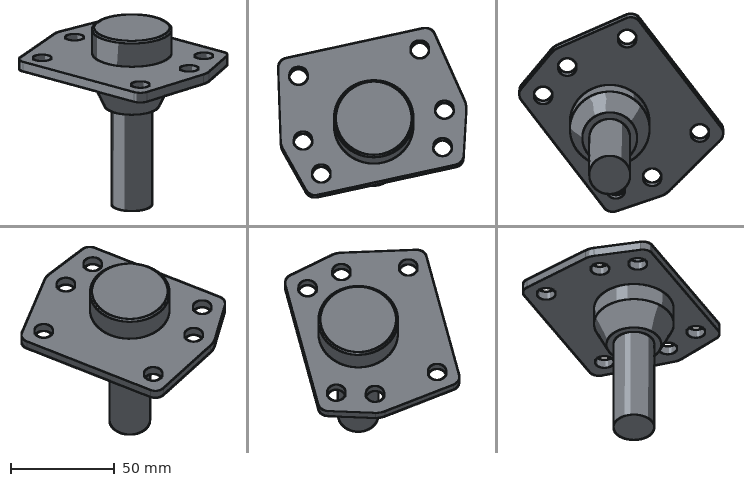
import cadquery as cq

plate_thickness = 5.0
plate_back_y = 28.0
plate_front_y = -42.0
plate_end_half_width = 38.0
plate_middle_half_width = 46.0
end_corner_radius = 5.0
middle_corner_radius = 10.0

mounting_hole_diameter = 9.0
mounting_hole_pairs = [(30.0, 18.0), (35.0, 0.0), (30.0, -32.0)]

head_diameter = 38.5
head_height_above_plate = 13.0
head_chamfer = 1.0
cone_end_diameter = 26.5
stem_diameter = 19.8
cone_length = 12.7
head_top_to_cone_end = 40.0
overall_height = 91.0

head_top_z = plate_thickness + head_height_above_plate
cone_end_z = head_top_z - head_top_to_cone_end
cone_start_z = cone_end_z + cone_length
stem_end_z = head_top_z - overall_height


def make_plate():
    """Six-sided plate, widest at the head axis, with rounded corners."""
    outline = [
        (-plate_end_half_width, plate_front_y),
        (plate_end_half_width, plate_front_y),
        (plate_middle_half_width, 0),
        (plate_end_half_width, plate_back_y),
        (-plate_end_half_width, plate_back_y),
        (-plate_middle_half_width, 0),
    ]
    plate = cq.Workplane("XY").polyline(outline).close().extrude(plate_thickness)
    plate = plate.edges("|Z and (<X or >X)").fillet(middle_corner_radius)
    for end_face in ("<Y", ">Y"):
        plate = plate.faces(end_face).edges("|Z").fillet(end_corner_radius)
    return plate


def make_round_body():
    """Chamfered head, cone below it and stem, turned as one profile."""
    head_radius = head_diameter / 2
    stem_radius = stem_diameter / 2
    half_profile = [
        (0, stem_end_z),
        (stem_radius, stem_end_z),
        (stem_radius, cone_end_z),
        (cone_end_diameter / 2, cone_end_z),
        (head_radius, cone_start_z),
        (head_radius, head_top_z - head_chamfer),
        (head_radius - head_chamfer, head_top_z),
        (0, head_top_z),
    ]
    axis_start = (0, 0)
    axis_end = (0, 1)
    return cq.Workplane("XZ").polyline(half_profile).close().revolve(360, axis_start, axis_end)


def make_mounting_holes():
    """Cutters for the holes on both sides of the head."""
    centers = [(side * x, y) for x, y in mounting_hole_pairs for side in (-1, 1)]
    return (
        cq.Workplane("XY")
        .pushPoints(centers)
        .circle(mounting_hole_diameter / 2)
        .extrude(plate_thickness)
    )


result = make_plate().cut(make_mounting_holes()).union(make_round_body())